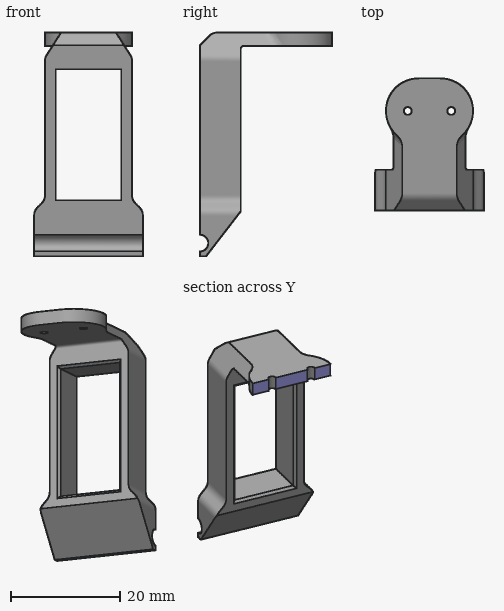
import cadquery as cq
import math

height = 41.05
length = 24.25
body_depth = 7.5
plate_thickness = 2.5
bend_radius = 2.0

foot_half_width = 20.0 / 2
frame_half_width = 8.0
arm_half_width = 5.0
foot_shoulder_z = 8.35
frame_start_z = foot_shoulder_z + foot_half_width - frame_half_width
frame_end_z = height - 4.65

top_chamfer = 2.35
inner_corner_radius = 0.5
back_slope_z = 8.25
toe_depth = 1.15

head_radius = 6.0
head_center_x = frame_half_width - head_radius
head_y = length - head_radius
screw_hole_x = 4.0
screw_hole_diameter = 1.4

window_width = 12.0
window_height = 23.95
window_back_chamfer = 0.5
groove_radius = 1.5
groove_z = 2.42


def make_front_prism():
    """Front outline extruded along Y, with its side corners rounded."""
    right_side = [
        (foot_half_width, 0),
        (foot_half_width, foot_shoulder_z),
        (frame_half_width, frame_start_z),
        (frame_half_width, frame_end_z),
        (arm_half_width, height),
    ]
    left_side = [(-x, z) for x, z in reversed(right_side)]
    prism = cq.Workplane("XZ").polyline(right_side + left_side).close().extrude(-length)
    margin = 0.4
    lowest_corner_z = foot_shoulder_z - margin
    highest_corner_z = frame_end_z + margin
    side_corners = cq.selectors.BoxSelector(
        (-length, -margin, lowest_corner_z), (length, length + margin, highest_corner_z))
    return prism.edges("|Y").edges(side_corners).fillet(bend_radius)


def make_side_prism():
    """Bent side outline extruded across the full width."""
    outline = [
        (0, 0),
        (toe_depth, 0),
        (body_depth, back_slope_z),
        (body_depth, height - plate_thickness),
        (head_y, height - plate_thickness),
        (head_y, height),
        (top_chamfer, height),
        (0, height - top_chamfer),
    ]
    prism = cq.Workplane("YZ").polyline(outline).close().extrude(foot_half_width, both=True)
    inner_corner = cq.selectors.NearestToPointSelector((0, body_depth, height - plate_thickness))
    outer_corner = cq.selectors.NearestToPointSelector((0, top_chamfer, height))
    prism = prism.edges("|X").edges(inner_corner).fillet(inner_corner_radius)
    return prism.edges("|X").edges(outer_corner).fillet(bend_radius)


def make_head():
    """Flat plate with two round ends."""
    return (
        cq.Workplane("XY", origin=(0, head_y, height - plate_thickness))
        .slot2D(2 * frame_half_width, 2 * head_radius)
        .extrude(plate_thickness)
    )


def round_neck(solid):
    """Blend the sloped arm sides into the head."""
    mid_half_width = arm_half_width + (frame_half_width - arm_half_width) * (
        plate_thickness / 2 / (height - frame_end_z))
    neck_y = head_y - math.sqrt(head_radius**2 - (mid_half_width - head_center_x) ** 2)
    for side in (-1, 1):
        neck_point = (side * mid_half_width, neck_y, height - plate_thickness / 2)
        solid = solid.edges(cq.selectors.NearestToPointSelector(neck_point)).fillet(bend_radius)
    return solid


bracket = make_front_prism().intersect(make_side_prism())
bracket = round_neck(bracket.union(make_head()))

window = (
    cq.Workplane("XY")
    .box(window_width, body_depth, window_height, centered=(True, False, False))
    .translate((0, 0, frame_start_z))
)
groove = (
    cq.Workplane("YZ", origin=(0, 0, groove_z))
    .circle(groove_radius)
    .extrude(foot_half_width, both=True)
)
screw_holes = (
    cq.Workplane("XY", origin=(0, head_y, height - plate_thickness))
    .pushPoints([(-screw_hole_x, 0), (screw_hole_x, 0)])
    .circle(screw_hole_diameter / 2)
    .extrude(plate_thickness)
)

bracket = bracket.cut(window)

window_flare = (
    cq.Workplane("XZ", origin=(0, body_depth, frame_start_z + window_height / 2))
    .rect(window_width + 2 * window_back_chamfer, window_height + 2 * window_back_chamfer)
    .extrude(window_back_chamfer, taper=45)
)
result = bracket.cut(window_flare).cut(groove).cut(screw_holes)